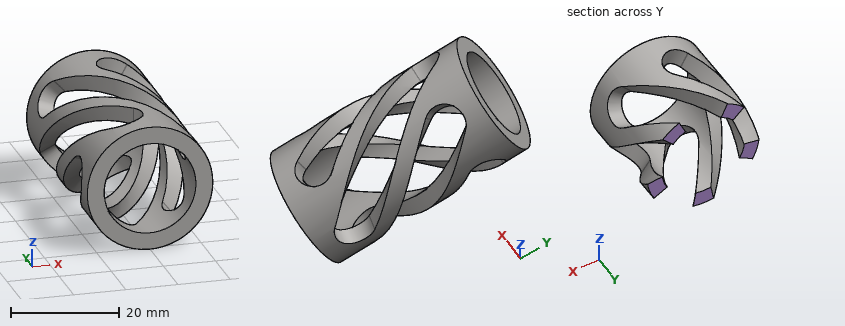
import cadquery as cq
import math

length = 41.76
outer_diameter = 24.1
inner_diameter = 17.6

slot_count = 5
slot_width = 7.8
slot_overall_length = 33.8
slot_twist = 114.0

outer_radius = outer_diameter / 2
inner_radius = inner_diameter / 2
end_radius = slot_width / 2
slot_rise = slot_overall_length - slot_width
slot_arc = math.radians(slot_twist) * outer_radius
slant = math.atan2(slot_arc, slot_rise)

cutter_inner = 0.6 * inner_radius
cutter_outer = 1.1 * outer_radius

curve_spans = 12
band_overrun = 0.5
trim_overlap = 1.2


def wrapped_point(distance, arc, height):
    """Point where the radial line through an unrolled position meets the plane x = distance."""
    return cq.Vector(distance, distance * math.tan(arc / outer_radius), height)


def radial_prism(outline):
    """Solid with radial walls; outline lists the unrolled edges, each a function of 0..1."""
    wires = []
    for distance in (cutter_inner, cutter_outer):
        edges = []
        for edge in outline:
            samples = [edge(i / curve_spans) for i in range(curve_spans + 1)]
            edges.append(cq.Edge.makeSpline([wrapped_point(distance, *sample) for sample in samples]))
        wires.append(cq.Wire.assembleEdges(edges))
    return cq.Workplane(obj=cq.Solid.makeLoft(wires, True))


def straight_edge(start, end):
    """Straight unrolled edge between two positions."""
    return lambda t: (start[0] + t * (end[0] - start[0]), start[1] + t * (end[1] - start[1]))


def half_circle(start_angle):
    """Half of the unrolled slot end circle, starting at an angle in radians."""
    def edge(t):
        angle = start_angle + t * math.pi
        return end_radius * math.cos(angle), end_radius * math.sin(angle)
    return edge


def across_and_along(across, along):
    """Unrolled position given by distances across and along the slot from an end centre."""
    arc = across * math.cos(slant) - along * math.sin(slant)
    height = across * math.sin(slant) + along * math.cos(slant)
    return arc, height


def end_trim():
    """Block beyond the line across the slot through an end centre."""
    half_width = trim_overlap * end_radius
    depth = trim_overlap * slot_width
    corners = [
        across_and_along(-half_width, 0),
        across_and_along(half_width, 0),
        across_and_along(half_width, depth),
        across_and_along(-half_width, depth),
    ]
    return radial_prism([straight_edge(corners[i - 1], corners[i]) for i in range(len(corners))])


def at_upper_end(body):
    """Move a body from the slot middle to the upper slot end centre."""
    return body.translate((0, 0, slot_rise / 2)).rotate((0, 0, 0), (0, 0, 1), -slot_twist / 2)


def half_turn(body):
    """Carry a body from the upper slot end to the lower one."""
    return body.rotate((0, 0, 0), (1, 0, 0), 180)


def twisted_band():
    """Wedge between two radial planes, twisted along the axis and trimmed square to the slot."""
    slope = math.tan(end_radius / math.cos(slant) / outer_radius)
    band_rise = slot_rise + 2 * (end_radius * math.sin(slant) + band_overrun)
    band_twist = slot_twist * band_rise / slot_rise
    corners = [
        (cutter_inner, -cutter_inner * slope),
        (cutter_outer, -cutter_outer * slope),
        (cutter_outer, cutter_outer * slope),
        (cutter_inner, cutter_inner * slope),
    ]
    band = cq.Workplane("XY").polyline(corners).close().twistExtrude(band_rise, -band_twist)
    band = band.translate((0, 0, -band_rise / 2)).rotate((0, 0, 0), (0, 0, 1), band_twist / 2)
    upper_trim = at_upper_end(end_trim())
    return band.cut(upper_trim).cut(half_turn(upper_trim))


def cut_slots(sleeve):
    """Cut the equally spaced slots; the first is centred on local -Y at mid length."""
    upper_end = at_upper_end(radial_prism([half_circle(slant), half_circle(slant + math.pi)]))
    cutters = [twisted_band(), upper_end, half_turn(upper_end)]
    for index in range(slot_count):
        angle = -90 + index * 360 / slot_count
        for cutter in cutters:
            sleeve = sleeve.cut(cutter.rotate((0, 0, 0), (0, 0, 1), angle))
    return sleeve


def make_sleeve():
    """Plain tube centred on the origin, built along local Z."""
    ring = cq.Workplane("XY").circle(outer_radius).circle(inner_radius)
    return ring.extrude(length / 2, both=True)


result = cut_slots(make_sleeve()).rotate((0, 0, 0), (1, 0, 0), -90)